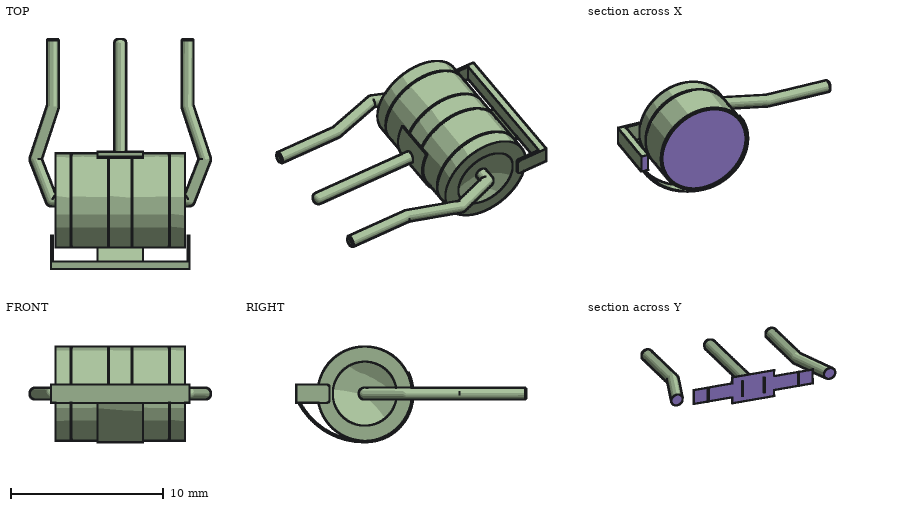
import cadquery as cq
import math

BODY_LENGTH = 8.5
BODY_RADIUS = 3.1
GROOVE_WIDTH = 0.06
GROOVE_DEPTH = 0.1
INNER_GROOVE_X = 0.77
OUTER_GROOVE_X = 3.22
DISH_RADIUS = 2.1
DISH_DEPTH = 0.55

LEAD_RADIUS = 0.4
LEAD_END_Y = 10.6
SIDE_LEAD_EMBED = 0.5
SIDE_LEAD_ROOT_X = 4.5
SIDE_LEAD_X = 4.42
SIDE_LEAD_BULGE_X = 5.555
SIDE_LEAD_BULGE_Y = 2.7
SIDE_LEAD_STRAIGHT_Y = 6.15
SIDE_LEAD_END_CHAMFER = 0.1
CENTRE_LEAD_END_FILLET = 0.3

BRACKET_WIDTH = 9.1
BRACKET_HEIGHT = 1.2
BRACKET_FRONT_Y = -4.5
BRACKET_DEPTH = 2.2
BRACKET_WEB_THICKNESS = 0.5
BRACKET_ARM_THICKNESS = 0.15
BRACKET_CORNER_RADIUS = 0.2

STRAP_WIDTH = 3.0
STRAP_THICKNESS = 0.1
STRAP_END_ANGLE = 26.0
STRAP_FRONT_Y = -4.35
FRONT_ARC_SAMPLE_DROP = 0.75


def make_body():
    """Turned cylinder with a shallow round dish in each end and four ring grooves."""
    half_length = BODY_LENGTH / 2
    dish_bottom_x = half_length - DISH_DEPTH
    sphere_radius = (DISH_RADIUS**2 + DISH_DEPTH**2) / (2 * DISH_DEPTH)
    body = (
        cq.Workplane("XY")
        .moveTo(-dish_bottom_x, 0)
        .radiusArc((-half_length, DISH_RADIUS), -sphere_radius)
        .lineTo(-half_length, BODY_RADIUS)
        .lineTo(half_length, BODY_RADIUS)
        .lineTo(half_length, DISH_RADIUS)
        .radiusArc((dish_bottom_x, 0), -sphere_radius)
        .close()
        .revolve(360, (0, 0, 0), (1, 0, 0))
    )
    for groove_x in (-OUTER_GROOVE_X, -INNER_GROOVE_X, INNER_GROOVE_X, OUTER_GROOVE_X):
        ring = (
            cq.Workplane("YZ", origin=(groove_x - GROOVE_WIDTH / 2, 0, 0))
            .circle(BODY_RADIUS + GROOVE_DEPTH)
            .circle(BODY_RADIUS - GROOVE_DEPTH)
            .extrude(GROOVE_WIDTH)
        )
        body = body.cut(ring)
    return body


def make_wire(start, end):
    """Straight round wire between two points of the XY plane."""
    start_point = cq.Vector(*start, 0)
    direction = cq.Vector(*end, 0) - start_point
    return cq.Workplane(
        cq.Solid.makeCylinder(LEAD_RADIUS, direction.Length, start_point, direction)
    )


def make_side_lead():
    """Bent wire with ball-shaped elbows, leaving the -X end of the body and turning to +Y."""
    root = (-(BODY_LENGTH / 2 - DISH_DEPTH - SIDE_LEAD_EMBED), 0)
    elbows = [
        (-SIDE_LEAD_ROOT_X, 0),
        (-SIDE_LEAD_BULGE_X, SIDE_LEAD_BULGE_Y),
        (-SIDE_LEAD_X, SIDE_LEAD_STRAIGHT_Y),
    ]
    tip = (-SIDE_LEAD_X, LEAD_END_Y)

    lead = make_wire(elbows[-1], tip).faces(">Y").chamfer(SIDE_LEAD_END_CHAMFER)
    for start, end in zip([root] + elbows, elbows):
        lead = lead.union(make_wire(start, end))
    for elbow in elbows:
        ball = cq.Workplane("XY").sphere(LEAD_RADIUS).translate((*elbow, 0))
        lead = lead.union(ball)
    return lead


def make_centre_lead():
    """Straight wire from inside the body wall to the common end plane, with a rounded tip."""
    start_y = BODY_RADIUS - LEAD_RADIUS
    lead = make_wire((0, start_y), (0, LEAD_END_Y))
    return lead.faces(">Y").edges().fillet(CENTRE_LEAD_END_FILLET)


def make_bracket():
    """Front web with two thin arms that reach back beside the body ends."""
    outer = (
        cq.Workplane("XY")
        .box(BRACKET_WIDTH, BRACKET_DEPTH, BRACKET_HEIGHT, centered=(True, False, True))
        .edges("|X and >Y")
        .fillet(BRACKET_CORNER_RADIUS)
    )
    gap = (
        cq.Workplane("XY", origin=(0, BRACKET_WEB_THICKNESS, 0))
        .box(
            BRACKET_WIDTH - 2 * BRACKET_ARM_THICKNESS,
            BRACKET_DEPTH,
            BRACKET_HEIGHT,
            centered=(True, False, True),
        )
    )
    return outer.cut(gap).translate((0, BRACKET_FRONT_Y, 0))


def make_strap():
    """Strip around the lower rear of the body, then along a wider arc up to the bracket."""
    inner_radius = BODY_RADIUS
    outer_radius = BODY_RADIUS + STRAP_THICKNESS
    top_z = -BRACKET_HEIGHT / 2

    rise = top_z + outer_radius
    front_outer_radius = (STRAP_FRONT_Y**2 + rise**2) / (2 * rise)
    front_inner_radius = front_outer_radius - STRAP_THICKNESS
    front_centre_z = front_outer_radius - outer_radius

    def body_point(radius, angle):
        return (
            radius * math.cos(math.radians(angle)),
            radius * math.sin(math.radians(angle)),
        )

    def front_point(radius, z):
        return (-math.sqrt(radius**2 - (z - front_centre_z) ** 2), z)

    middle_angle = (STRAP_END_ANGLE - 90) / 2
    middle_z = top_z - FRONT_ARC_SAMPLE_DROP * rise
    profile = (
        cq.Workplane("YZ")
        .moveTo(*body_point(inner_radius, STRAP_END_ANGLE))
        .threePointArc(body_point(inner_radius, middle_angle), (0, -inner_radius))
        .threePointArc(
            front_point(front_inner_radius, middle_z),
            front_point(front_inner_radius, top_z),
        )
        .lineTo(STRAP_FRONT_Y, top_z)
        .threePointArc(front_point(front_outer_radius, middle_z), (0, -outer_radius))
        .threePointArc(
            body_point(outer_radius, middle_angle),
            body_point(outer_radius, STRAP_END_ANGLE),
        )
        .close()
    )
    return profile.extrude(STRAP_WIDTH / 2, both=True)


left_lead = make_side_lead()
right_lead = left_lead.mirror("YZ")
result = make_body()
for part in (make_strap(), make_bracket(), make_centre_lead(), left_lead, right_lead):
    result = result.union(part)